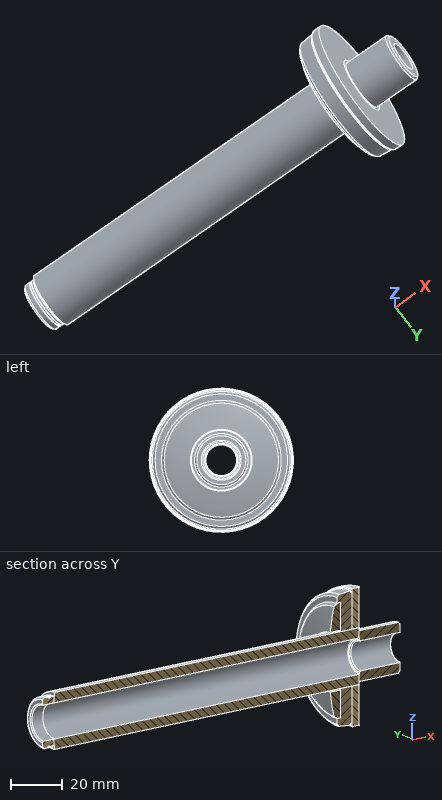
import cadquery as cq
import math

TOTAL_LENGTH = 176.0
START_X = -TOTAL_LENGTH / 2
END_X = TOTAL_LENGTH / 2

TUBE_RADIUS = 11.6
BORE_RADIUS = 7.2
CONNECTOR_RADIUS = 10.4
CONNECTOR_CHAMFER = 0.9
OUTLET_LENGTH = 5.8
OUTLET_MOUTH_CHAMFER = 0.5
GROOVE_START = 3.0
GROOVE_WIDTH = 0.9
GROOVE_DEPTH = 0.5
COLLAR_LIP = 0.9
COLLAR_LIP_DEPTH = 0.4
INLET_LENGTH = 20.0
INLET_BORE_RADIUS = 6.0
INLET_MOUTH_CHAMFER = 0.5

BASE_RADIUS = 28.0
BASE_THICKNESS = 3.7
BASE_CHAMFER = 0.4
SEAM_RADIUS = 26.5
SEAM_WIDTH = 0.5
ESCUTCHEON_RADIUS = 27.3
ESCUTCHEON_FRONT_RADIUS = 26.8
ESCUTCHEON_THICKNESS = 7.4
ESCUTCHEON_CHAMFER = 1.0
DOME_RADIUS = 23.2
DOME_RIM_RADIUS = 22.2
DOME_RIM_OFFSET = 1.4
DOME_HEIGHT = 3.3
DOME_SEAT_DEPTH = 1.8
DOME_SAG = 0.26
DOME_HOLE_CLEARANCE = 0.4

TUBE_START_X = START_X + OUTLET_LENGTH
WALL_X = END_X - INLET_LENGTH
BASE_FRONT_X = WALL_X - BASE_THICKNESS
SEAM_FRONT_X = BASE_FRONT_X - SEAM_WIDTH
ESCUTCHEON_FRONT_X = BASE_FRONT_X - ESCUTCHEON_THICKNESS
DOME_SEAT_X = ESCUTCHEON_FRONT_X + DOME_SEAT_DEPTH


def revolve_profile(profile):
    """Turn a closed (x, radius) profile around the X axis."""
    return profile.close().revolve(360, (0, 0, 0), (1, 0, 0))


def turned(points):
    """Turned body from straight-sided (x, radius) points."""
    return revolve_profile(cq.Workplane("XY").polyline(points))


def make_outlet():
    """Outlet connector: chamfered nose, narrow groove and stepped collar."""
    groove_x = START_X + GROOVE_START
    groove_end_x = groove_x + GROOVE_WIDTH
    groove_radius = CONNECTOR_RADIUS - GROOVE_DEPTH
    lip_x = TUBE_START_X - COLLAR_LIP
    lip_radius = CONNECTOR_RADIUS - COLLAR_LIP_DEPTH
    return turned([
        (START_X, BORE_RADIUS + OUTLET_MOUTH_CHAMFER),
        (START_X, CONNECTOR_RADIUS - CONNECTOR_CHAMFER),
        (START_X + CONNECTOR_CHAMFER, CONNECTOR_RADIUS),
        (groove_x, CONNECTOR_RADIUS),
        (groove_x, groove_radius),
        (groove_end_x, groove_radius),
        (groove_end_x, CONNECTOR_RADIUS),
        (lip_x, CONNECTOR_RADIUS),
        (lip_x, lip_radius),
        (TUBE_START_X, lip_radius),
        (TUBE_START_X, BORE_RADIUS),
        (START_X + OUTLET_MOUTH_CHAMFER, BORE_RADIUS),
    ])


def make_tube():
    """Plain tube from the outlet connector to the wall plane."""
    return turned([
        (TUBE_START_X, BORE_RADIUS),
        (TUBE_START_X, TUBE_RADIUS),
        (WALL_X, TUBE_RADIUS),
        (WALL_X, BORE_RADIUS),
    ])


def make_inlet():
    """Inlet connector behind the wall plane, chamfered at its free end."""
    return turned([
        (WALL_X, INLET_BORE_RADIUS + INLET_MOUTH_CHAMFER),
        (WALL_X, CONNECTOR_RADIUS),
        (END_X - CONNECTOR_CHAMFER, CONNECTOR_RADIUS),
        (END_X, CONNECTOR_RADIUS - CONNECTOR_CHAMFER),
        (END_X, INLET_BORE_RADIUS),
        (WALL_X + INLET_MOUTH_CHAMFER, INLET_BORE_RADIUS),
    ])


def make_base_ring():
    """Largest ring of the flange, lying against the wall plane."""
    return turned([
        (BASE_FRONT_X, TUBE_RADIUS),
        (BASE_FRONT_X, BASE_RADIUS - BASE_CHAMFER),
        (BASE_FRONT_X + BASE_CHAMFER, BASE_RADIUS),
        (WALL_X, BASE_RADIUS),
        (WALL_X, TUBE_RADIUS),
    ])


def make_escutcheon():
    """Slightly tapered cover with a front recess that seats the dome."""
    return turned([
        (DOME_SEAT_X, TUBE_RADIUS),
        (DOME_SEAT_X, DOME_RADIUS),
        (ESCUTCHEON_FRONT_X, DOME_RADIUS),
        (ESCUTCHEON_FRONT_X, ESCUTCHEON_FRONT_RADIUS - ESCUTCHEON_CHAMFER),
        (ESCUTCHEON_FRONT_X + ESCUTCHEON_CHAMFER, ESCUTCHEON_FRONT_RADIUS),
        (SEAM_FRONT_X, ESCUTCHEON_RADIUS),
        (SEAM_FRONT_X, SEAM_RADIUS),
        (BASE_FRONT_X, SEAM_RADIUS),
        (BASE_FRONT_X, TUBE_RADIUS),
    ])


def make_dome():
    """Domed disc around the tube, seated in the escutcheon."""
    hole_radius = TUBE_RADIUS + DOME_HOLE_CLEARANCE
    rim_x = ESCUTCHEON_FRONT_X - DOME_RIM_OFFSET
    crown_x = ESCUTCHEON_FRONT_X - DOME_HEIGHT
    rise = DOME_RIM_RADIUS - hole_radius
    run = rim_x - crown_x
    chord = math.hypot(run, rise)
    arc_middle = (
        (crown_x + rim_x) / 2 - DOME_SAG * rise / chord,
        (hole_radius + DOME_RIM_RADIUS) / 2 + DOME_SAG * run / chord,
    )
    profile = (
        cq.Workplane("XY")
        .moveTo(DOME_SEAT_X, hole_radius)
        .lineTo(crown_x, hole_radius)
        .threePointArc(arc_middle, (rim_x, DOME_RIM_RADIUS))
        .lineTo(ESCUTCHEON_FRONT_X, DOME_RADIUS)
        .lineTo(DOME_SEAT_X, DOME_RADIUS)
    )
    return revolve_profile(profile)


outlet = make_outlet()
tube = make_tube()
inlet = make_inlet()
base_ring = make_base_ring()
escutcheon = make_escutcheon()
dome = make_dome()

result = cq.Compound.makeCompound([
    outlet.val(),
    tube.val(),
    inlet.val(),
    base_ring.val(),
    escutcheon.val(),
    dome.val(),
])